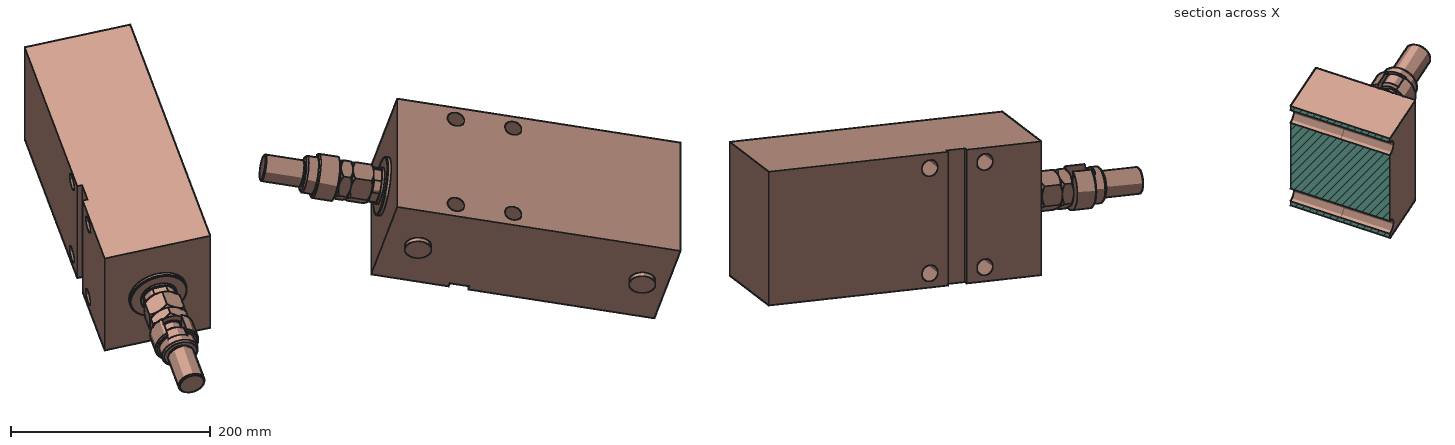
import cadquery as cq
import math


BLOCK_LENGTH = 292.0
BLOCK_WIDTH = 110.0
BLOCK_HEIGHT = 140.0
KEYWAY_CENTER = 202.0
KEYWAY_WIDTH = 20.0
KEYWAY_DEPTH = 5.0
BOLT_HOLE_DIAMETER = 17.0
BOLT_SPACING_X = 59.0
BOLT_SPACING_Z = 110.0
FLANGE_RADIUS = 29.8
FLANGE_THICKNESS = 4.0
FLANGE_CHAMFER = 1.0

PLUG_DIAMETER = 26.5
PLUG_HEIGHT = 4.9
PLUG_POSITIONS = (26.0, 257.0)

ROD_SHOULDER_RADIUS = 18.7
ROD_RADIUS = 17.5
WRENCH_SIZE = 32.0
STUD_RADIUS = 12.0
NECK_RADIUS = 10.0
HEAD_RADIUS = 15.5
HEAD_CHAMFER = 2.5
ROD_START = BLOCK_LENGTH + FLANGE_THICKNESS
SHOULDER_LENGTH = 2.5
FLATS_LENGTH = 8.5
FLATS_START = ROD_START + SHOULDER_LENGTH
ROD_END = FLATS_START + FLATS_LENGTH
ROD_CHAMFER = 1.0

NUT_FLATS = 36.5
NUT_THICKNESS = 21.5
LOCK_NUT_THICKNESS = 12.2
NUT_CHAMFER_ANGLE = 40.0
LOCK_NUT_START = ROD_END + NUT_THICKNESS
LOCK_NUT_END = LOCK_NUT_START + LOCK_NUT_THICKNESS

COUPLING_GAP = 2.3
COUPLING_START = LOCK_NUT_END + COUPLING_GAP
SLEEVE_LENGTH = 21.0
SLEEVE_RADIUS = 22.5
SLEEVE_CHAMFER = 1.5
COLLAR_LENGTH = 11.8
COLLAR_RADIUS = 18.7
COLLAR_CHAMFER = 1.8
GROOVE_LENGTH = 1.8
GROOVE_RADIUS = 12.4
OVERALL_LENGTH = 417.5
STEM_RADIUS = 13.6
STEM_CHAMFER = 1.2
HEAD_INSET = 8.2
SLOT_LENGTH = 24.0
HEAD_START = COUPLING_START + HEAD_INSET
HEAD_END = COUPLING_START + SLOT_LENGTH
SLEEVE_END = COUPLING_START + SLEEVE_LENGTH
COLLAR_END = SLEEVE_END + COLLAR_LENGTH
STEM_START = COLLAR_END + GROOVE_LENGTH


def cylinder(start, end, radius):
    """Solid cylinder on the X axis between two X positions."""
    return cq.Workplane("YZ", origin=(start, 0, 0)).circle(radius).extrude(end - start)


def make_block():
    block = cq.Workplane("XY").box(BLOCK_LENGTH, BLOCK_WIDTH, BLOCK_HEIGHT)
    block = block.translate((BLOCK_LENGTH / 2, 0, 0))

    keyway = cq.Workplane("XY").box(KEYWAY_WIDTH, 2 * KEYWAY_DEPTH, BLOCK_HEIGHT)
    block = block.cut(keyway.translate((KEYWAY_CENTER, -BLOCK_WIDTH / 2, 0)))

    bolt_holes = (
        cq.Workplane("XZ", origin=(KEYWAY_CENTER, 0, 0))
        .rect(BOLT_SPACING_X, BOLT_SPACING_Z, forConstruction=True)
        .vertices()
        .circle(BOLT_HOLE_DIAMETER / 2)
        .extrude(BLOCK_WIDTH / 2, both=True)
    )
    flange = cylinder(BLOCK_LENGTH, ROD_START, FLANGE_RADIUS)
    flange = flange.faces(">X").chamfer(FLANGE_CHAMFER)
    return block.cut(bolt_holes).union(flange)


def make_plug(x):
    bottom = -BLOCK_HEIGHT / 2 - PLUG_HEIGHT
    return cq.Workplane("XY", origin=(x, 0, bottom)).circle(PLUG_DIAMETER / 2).extrude(PLUG_HEIGHT)


def make_head():
    """Round head that the coupling holds."""
    return cylinder(HEAD_START, HEAD_END, HEAD_RADIUS).faces("<X").chamfer(HEAD_CHAMFER)


def make_rod():
    shoulder = cylinder(ROD_START, FLATS_START, ROD_SHOULDER_RADIUS)
    rod = cylinder(FLATS_START, ROD_END, ROD_RADIUS).faces(">X").chamfer(ROD_CHAMFER)

    square = cq.Workplane("YZ", origin=(FLATS_START, 0, 0)).rect(WRENCH_SIZE, WRENCH_SIZE)
    waste = cylinder(FLATS_START, ROD_END, 2 * ROD_RADIUS).cut(square.extrude(FLATS_LENGTH))

    stud = cylinder(ROD_END, LOCK_NUT_END, STUD_RADIUS)
    neck = cylinder(LOCK_NUT_END, HEAD_START, NECK_RADIUS)
    return rod.cut(waste).union(shoulder).union(stud).union(neck).union(make_head())


def make_nut(start, thickness):
    """Hexagon nut with corners at +Z and -Z, chamfered at both ends."""
    flat_radius = NUT_FLATS / 2
    corner_radius = flat_radius / math.cos(math.radians(30))
    chamfer_radial = corner_radius - flat_radius
    chamfer_axial = chamfer_radial * math.tan(math.radians(NUT_CHAMFER_ANGLE))

    hexagon = (
        cq.Workplane("YZ", origin=(start, 0, 0))
        .transformed(rotate=(0, 0, 90))
        .polygon(6, 2 * corner_radius)
        .extrude(thickness)
    )
    envelope = cylinder(start, start + thickness, corner_radius)
    envelope = envelope.faces("<X").chamfer(chamfer_axial, chamfer_radial)
    envelope = envelope.faces(">X").chamfer(chamfer_axial, chamfer_radial)
    return hexagon.intersect(envelope).cut(cylinder(start, start + thickness, STUD_RADIUS))


def make_coupling():
    sleeve = cylinder(COUPLING_START, SLEEVE_END, SLEEVE_RADIUS).faces(">X").chamfer(SLEEVE_CHAMFER)
    collar = cylinder(SLEEVE_END, COLLAR_END, COLLAR_RADIUS).faces(">X").chamfer(COLLAR_CHAMFER)
    groove = cylinder(COLLAR_END, STEM_START, GROOVE_RADIUS)
    stem = cylinder(STEM_START, OVERALL_LENGTH, STEM_RADIUS).faces(">X").chamfer(STEM_CHAMFER)
    coupling = sleeve.union(collar).union(groove).union(stem)

    slot = cq.Workplane("XY").box(SLOT_LENGTH, 2 * NECK_RADIUS, SLEEVE_RADIUS, centered=(False, True, False))
    neck_seat = cylinder(COUPLING_START, HEAD_END, NECK_RADIUS)
    coupling = coupling.cut(slot.translate((COUPLING_START, 0, 0))).cut(neck_seat)
    return coupling.cut(make_head())


block = make_block()
plugs = [make_plug(x) for x in PLUG_POSITIONS]
rod = make_rod()
nut = make_nut(ROD_END, NUT_THICKNESS)
lock_nut = make_nut(LOCK_NUT_START, LOCK_NUT_THICKNESS)
coupling = make_coupling()

result = cq.Compound.makeCompound(
    [
        block.val(),
        *[plug.val() for plug in plugs],
        rod.val(),
        nut.val(),
        lock_nut.val(),
        coupling.val(),
    ]
)